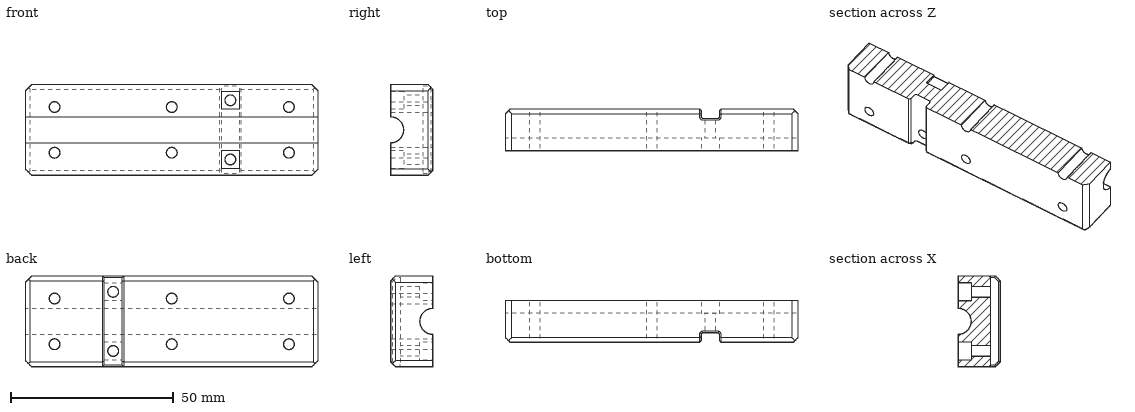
import cadquery as cq

length = 90.0
thickness = 13.0
height = 28.0
corner_chamfer = 2.0
back_chamfer = 1.5

groove_radius = 4.0

hole_diameter = 3.2
mount_hole_pitch = 36.0
mount_hole_z = 7.0

pocket_x = 18.0
pocket_z = 9.1
pocket_side = 5.5
pocket_depth = 4.05
notch_width = 5.6
notch_depth = 3.0
notch_corner_radius = 0.6
notch_edge_chamfer = 0.5


def make_block():
    """Block with bevelled end corners and a bevelled rim around its back."""
    plain_block = cq.Workplane("XY").box(length, thickness, height, centered=(True, False, True))
    cut_corners = plain_block.edges("|Y").chamfer(corner_chamfer)
    bevelled_back = plain_block.faces(">Y").edges().chamfer(back_chamfer)
    return bevelled_back.intersect(cut_corners)


def make_notch():
    """Channel across the full height of the back, rounded along its floor."""
    notch = (
        cq.Workplane("XY")
        .box(notch_width, 2 * notch_depth, height)
        .edges("<Y and |Z")
        .fillet(notch_corner_radius)
    )
    return notch.translate((pocket_x, thickness, 0))


def chamfer_notch_rim(body):
    """Break every edge where the notch meets the outside of the block."""
    rim_half_width = notch_width / 2 + notch_edge_chamfer / 2
    rim_box = cq.selectors.BoxSelector(
        (pocket_x - rim_half_width, thickness - notch_depth - notch_edge_chamfer, -height),
        (pocket_x + rim_half_width, thickness + notch_edge_chamfer, height),
    )
    inner_edges = cq.selectors.BoxSelector(
        (pocket_x - rim_half_width, 0, -notch_edge_chamfer),
        (pocket_x + rim_half_width, thickness - notch_edge_chamfer, notch_edge_chamfer),
    )
    rim_edges = body.edges(rim_box - inner_edges)
    return rim_edges.chamfer(notch_edge_chamfer)


def along_y(points, diameter):
    """Cylinders running through the whole thickness at the given (x, z) points."""
    return (
        cq.Workplane("XZ")
        .pushPoints(points)
        .circle(diameter / 2)
        .extrude(-thickness)
    )


body = chamfer_notch_rim(make_block().cut(make_notch()))

groove = cq.Workplane("YZ").circle(groove_radius).extrude(length / 2, both=True)
body = body.cut(groove)

mount_points = [
    (column * mount_hole_pitch, side * mount_hole_z)
    for column in (-1, 0, 1)
    for side in (-1, 1)
]
pocket_points = [(pocket_x, side * pocket_z) for side in (-1, 1)]
body = body.cut(along_y(mount_points + pocket_points, hole_diameter))

pockets = (
    cq.Workplane("XZ")
    .pushPoints(pocket_points)
    .rect(pocket_side, pocket_side)
    .extrude(-pocket_depth)
)
result = body.cut(pockets)